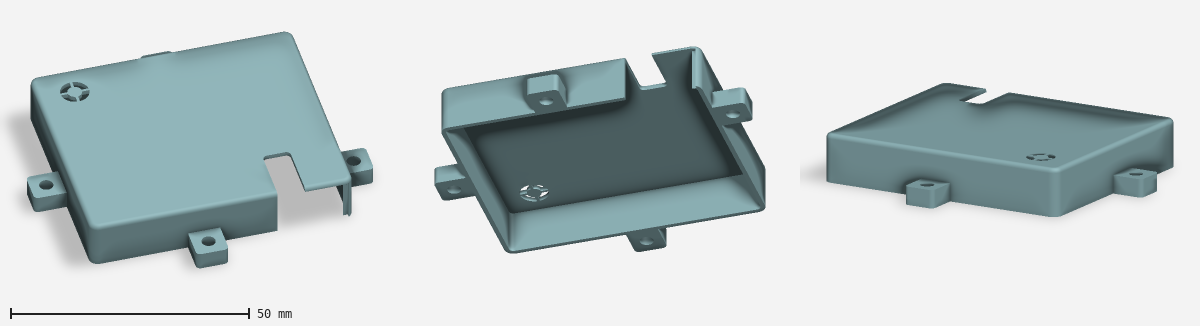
import cadquery as cq

overall_x = 63.0
overall_y = 71.0
height = 10.5

wall = 1.0
body_x = 49.0
tab_size = (overall_x - body_x) / 2
body_y = overall_y - 2 * tab_size
corner_radius = 2 * wall
top_edge_radius = wall
cavity_height = height - wall

tab_height = 4.0
tab_corner_radius = 1.0
tab_hole_diameter = 3.0
front_tab_shift = 2.0
back_tab_shift = 12.0
left_tab_shift = 1.0
right_tab_shift = -4.0
tab_x = (body_x + tab_size) / 2
tab_y = (body_y + tab_size) / 2

slot_length = 12.0
slot_width = 5.95
slot_y = 15.0
slot_corner_radius = 1.0

opening_start_y = slot_y - slot_width / 2
opening_end_y = body_y / 2 - wall

vent_from_left = 7.0
vent_from_front = 8.1
vent_x = vent_from_left - body_x / 2
vent_y = vent_from_front - body_y / 2
vent_diameter = 6.2
vent_hub_diameter = 3.1
vent_bar_width = 0.6


def make_cover():
    """Hollow box with rounded corners and a rounded top edge."""
    shell = cq.Workplane("XY").box(body_x, body_y, height, centered=(True, True, False))
    shell = shell.edges("|Z").fillet(corner_radius)
    shell = shell.faces(">Z").edges().fillet(top_edge_radius)
    cavity = (
        cq.Workplane("XY")
        .box(body_x - 2 * wall, body_y - 2 * wall, cavity_height, centered=(True, True, False))
        .edges("|Z")
        .fillet(corner_radius - wall)
    )
    return shell.cut(cavity)


def make_tab(x, y, outward):
    """Tab centred at (x, y); its two corners on the outward side are rounded."""
    return (
        cq.Workplane("XY")
        .box(tab_size, tab_size, tab_height, centered=(True, True, False))
        .faces(outward)
        .edges("|Z")
        .fillet(tab_corner_radius)
        .faces(">Z")
        .workplane()
        .hole(tab_hole_diameter)
        .translate((x, y, 0))
    )


def make_slot():
    """Full-height cutter for the slot, rounded at its closed end."""
    return (
        cq.Workplane("XY")
        .box(slot_length, slot_width, height, centered=(True, True, False))
        .edges("|Z and <X")
        .fillet(slot_corner_radius)
        .translate((body_x / 2 - slot_length / 2, slot_y, 0))
    )


def make_side_opening():
    """Cutter that removes the +X wall beside and behind the slot, up to the lid."""
    opening_length = opening_end_y - opening_start_y
    return (
        cq.Workplane("XY")
        .box(wall, opening_length, cavity_height, centered=False)
        .translate((body_x / 2 - wall, opening_start_y, 0))
    )


def make_vent():
    """Cutter for the four ring sectors of the vent."""
    ring = cq.Workplane("XY").circle(vent_diameter / 2).circle(vent_hub_diameter / 2).extrude(height)
    for bar_x, bar_y in ((vent_diameter, vent_bar_width), (vent_bar_width, vent_diameter)):
        ring = ring.cut(cq.Workplane("XY").rect(bar_x, bar_y).extrude(height))
    return ring.translate((vent_x, vent_y, 0))


result = make_cover().cut(make_slot()).cut(make_side_opening()).cut(make_vent())
for x, y, outward in (
    (front_tab_shift, -tab_y, "<Y"),
    (back_tab_shift, tab_y, ">Y"),
    (-tab_x, left_tab_shift, "<X"),
    (tab_x, right_tab_shift, ">X"),
):
    result = result.union(make_tab(x, y, outward))